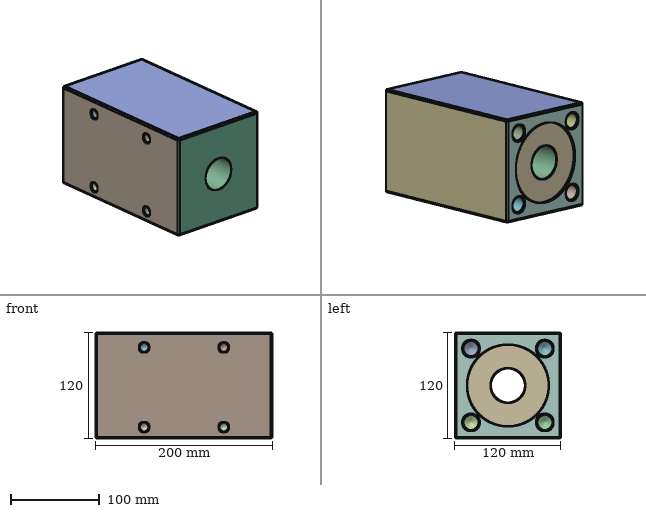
import cadquery as cq
import math

length = 200.0
width = 120.0
height = 120.0
edge_chamfer = 2.0

bore_diameter = 38.5
recess_diameter = 92.11
recess_depth = 2.0
bore_bevel = 0.5
recess_bevel = 0.35

end_hole_diameter = 17.5
end_mouth_diameter = 20.0
end_hole_depth = 40.0
end_bolt_circle = 118.0
end_hole_offset = end_bolt_circle / 2 * math.sin(math.radians(45))

side_hole_diameter = 10.2
side_mouth_diameter = 12.0
side_hole_depth = 24.0
side_hole_offset = 45.0
side_pattern_z = -2.0

drill_point_angle = 118.0


def corners(offset):
    """Four points of a square pattern about its own centre."""
    return [(a, b) for a in (-offset, offset) for b in (-offset, offset)]


def blind_hole(start, direction, diameter, mouth_diameter, depth):
    """Cutter for a drilled hole with a conical bottom and a 45 degree countersunk mouth."""
    radius = diameter / 2
    mouth_radius = mouth_diameter / 2
    mouth_depth = mouth_radius - radius
    point_depth = radius / math.tan(math.radians(drill_point_angle / 2))
    profile = (
        cq.Workplane("XZ")
        .moveTo(0, 0)
        .lineTo(mouth_radius, 0)
        .lineTo(radius, mouth_depth)
        .lineTo(radius, depth)
        .lineTo(0, depth + point_depth)
        .close()
    )
    cutter = profile.revolve(360, (0, 0, 0), (0, 1, 0)).val()
    plane = cq.Plane(origin=start, normal=direction)
    return cutter.moved(cq.Location(plane))


def make_block():
    return cq.Workplane("XY").box(length, width, height).edges().chamfer(edge_chamfer)


def make_bore():
    """Cutter for the through bore and the recess at its -X end, with bevelled mouths."""
    face = -length / 2
    floor = face + recess_depth
    bore_radius = bore_diameter / 2
    recess_radius = recess_diameter / 2
    profile = (
        cq.Workplane("XY")
        .moveTo(face, 0)
        .lineTo(face, recess_radius + recess_bevel)
        .lineTo(face + recess_bevel, recess_radius)
        .lineTo(floor, recess_radius)
        .lineTo(floor, bore_radius + bore_bevel)
        .lineTo(floor + bore_bevel, bore_radius)
        .lineTo(length / 2, bore_radius)
        .lineTo(length / 2, 0)
        .close()
    )
    return profile.revolve(360, (0, 0, 0), (1, 0, 0))


def cut_end_holes(body):
    for y, z in corners(end_hole_offset):
        start = (-length / 2, y, z)
        hole = blind_hole(start, (1, 0, 0), end_hole_diameter, end_mouth_diameter, end_hole_depth)
        body = body.cut(hole)
    return body


def cut_side_holes(body):
    for x, z in corners(side_hole_offset):
        start = (x, -width / 2, side_pattern_z + z)
        hole = blind_hole(start, (0, 1, 0), side_hole_diameter, side_mouth_diameter, side_hole_depth)
        body = body.cut(hole)
    return body


result = make_block().cut(make_bore())
result = cut_end_holes(result)
result = cut_side_holes(result)